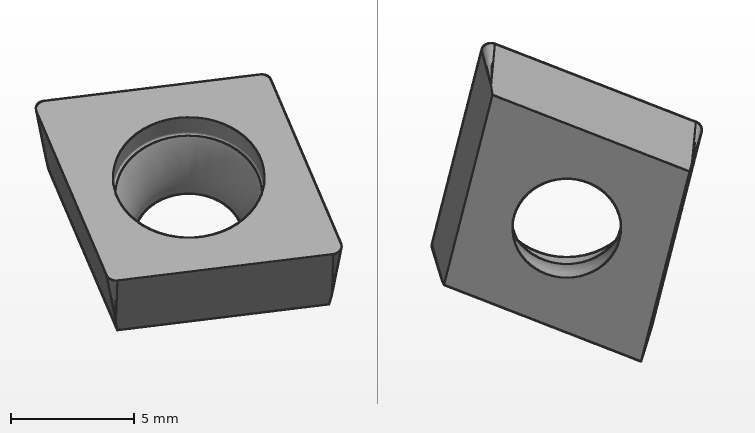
import cadquery as cq
import math

width = 9.53
thickness = 3.96
corner_angle = 80.0
relief_angle = 7.0
nose_radius = 0.4

hole_diameter = 4.4
recess_diameter = 6.15
recess_depth = 1.1
recess_fillet = 0.1
flare_bottom_depth = 3.4

angle = math.radians(corner_angle)
relief = math.tan(math.radians(relief_angle))


def rhombus(inset):
    """Corners of the rhombus with every edge moved inward, counter-clockwise from the acute corner."""
    height = width - 2 * inset
    side = height / math.sin(angle)
    skew = height / math.tan(angle)
    low_left = (-(side + skew) / 2, -height / 2)
    low_right = ((side - skew) / 2, -height / 2)
    high_right = (-low_left[0], height / 2)
    high_left = (-low_right[0], height / 2)
    return [low_left, low_right, high_right, high_left]


def tapered_body():
    return (
        cq.Workplane("XY")
        .polyline(rhombus(thickness * relief))
        .close()
        .workplane(offset=thickness)
        .polyline(rhombus(0))
        .close()
        .loft(ruled=True)
    )


def round_corner(body, corner, center, previous_center, next_center):
    """Replace a sharp corner by a conical nose whose radius shrinks to zero below the top face."""
    cone_height = nose_radius / relief
    apex_height = thickness - cone_height

    def outward_direction(start, end):
        dx = end[0] - start[0]
        dy = end[1] - start[1]
        return math.atan2(-dx, dy)

    def tangent_point(direction):
        return (
            center[0] + nose_radius * math.cos(direction),
            center[1] + nose_radius * math.sin(direction),
        )

    start_direction = outward_direction(previous_center, center)
    end_direction = outward_direction(center, next_center)
    sweep = (end_direction - start_direction) % (2 * math.pi)
    kite = [center, tangent_point(start_direction), corner, tangent_point(end_direction)]
    sharp_corner = cq.Workplane("XY", origin=(0, 0, apex_height)).polyline(kite).close().extrude(cone_height)

    nose_plane = cq.Plane(
        origin=(center[0], center[1], apex_height),
        xDir=(math.cos(start_direction), math.sin(start_direction), 0),
        normal=(math.sin(start_direction), -math.cos(start_direction), 0),
    )
    nose = (
        cq.Workplane(nose_plane)
        .polyline([(0, 0), (nose_radius, cone_height), (0, cone_height)])
        .close()
        .revolve(math.degrees(sweep), (0, 0, 0), (0, 1, 0))
    )
    return body.cut(sharp_corner).union(nose)


def screw_hole():
    """Recess with a rounded floor edge, and a flare that runs tangent into the hole wall."""
    hole_radius = hole_diameter / 2
    recess_radius = recess_diameter / 2
    flare_radius = recess_radius - recess_fillet
    recess_floor = thickness - recess_depth
    flare_bottom = thickness - flare_bottom_depth
    rise = recess_floor - flare_bottom
    spread = flare_radius - hole_radius
    arc_radius = (rise**2 + spread**2) / (2 * spread)
    half_sweep = math.asin(rise / arc_radius) / 2
    arc_middle = (
        hole_radius + arc_radius * (1 - math.cos(half_sweep)),
        flare_bottom + arc_radius * math.sin(half_sweep),
    )
    return (
        cq.Workplane("XZ")
        .moveTo(0, 0)
        .lineTo(hole_radius, 0)
        .lineTo(hole_radius, flare_bottom)
        .threePointArc(arc_middle, (flare_radius, recess_floor))
        .radiusArc((recess_radius, recess_floor + recess_fillet), -recess_fillet)
        .lineTo(recess_radius, thickness)
        .lineTo(0, thickness)
        .close()
        .revolve(360, (0, 0, 0), (0, 1, 0))
    )


result = tapered_body()
corners = rhombus(0)
nose_centers = rhombus(nose_radius)
for i, corner in enumerate(corners):
    next_center = nose_centers[(i + 1) % len(corners)]
    result = round_corner(result, corner, nose_centers[i], nose_centers[i - 1], next_center)

result = cq.Workplane(obj=result.cut(screw_hole()).solids().val())